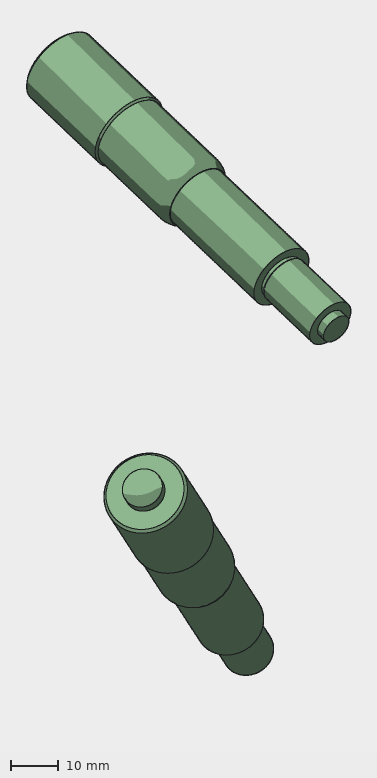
import cadquery as cq


button_rim_x = 0.95
thimble_face_x = 3.3
grip_end_x = 27.5
thimble_shoulder_x = 47.4
thimble_end_x = 50.3
stem_start_x = 78.5
relief_end_x = 79.5
stem_end_x = 95.0
spindle_tip_x = 97.0

button_radius = 4.3
grip_radius = 9.0
thimble_radius = 8.55
thimble_end_radius = 7.5
barrel_radius = 7.35
relief_radius = 5.25
stem_radius = 5.5
spindle_radius = 3.4

grip_front_chamfer = 0.6
grip_rear_chamfer = grip_radius - thimble_radius

round_length = thimble_end_x - thimble_shoulder_x
round_drop = thimble_radius - thimble_end_radius
round_radius = (round_length**2 + round_drop**2) / (2 * round_drop)


def revolve_about_x(profile):
    """Turn a closed half profile (X along the axis, Y as radius) about the X axis."""
    return profile.close().revolve(360, (0, 0, 0), (1, 0, 0))


def make_thimble():
    """Domed button, grip, rounded thimble and the spindle that runs through the sleeve."""
    dome_radius = (button_radius**2 + button_rim_x**2) / (2 * button_rim_x)
    half_rim = button_radius / 2
    dome_mid_x = dome_radius - (dome_radius**2 - half_rim**2) ** 0.5

    round_mid_x = round_length / 2
    round_mid_drop = round_radius - (round_radius**2 - round_mid_x**2) ** 0.5
    round_mid = (thimble_shoulder_x + round_mid_x, thimble_radius - round_mid_drop)

    profile = (
        cq.Workplane("XY")
        .moveTo(0, 0)
        .threePointArc((dome_mid_x, half_rim), (button_rim_x, button_radius))
        .lineTo(thimble_face_x, button_radius)
        .lineTo(thimble_face_x, grip_radius - grip_front_chamfer)
        .lineTo(thimble_face_x + grip_front_chamfer, grip_radius)
        .lineTo(grip_end_x - grip_rear_chamfer, grip_radius)
        .lineTo(grip_end_x, thimble_radius)
        .lineTo(thimble_shoulder_x, thimble_radius)
        .threePointArc(round_mid, (thimble_end_x, thimble_end_radius))
        .lineTo(thimble_end_x, spindle_radius)
        .lineTo(spindle_tip_x, spindle_radius)
        .lineTo(spindle_tip_x, 0)
    )
    return revolve_about_x(profile)


def make_sleeve():
    """Barrel, relief groove and mounting stem, bored through for the spindle."""
    profile = (
        cq.Workplane("XY")
        .moveTo(thimble_end_x, spindle_radius)
        .lineTo(thimble_end_x, barrel_radius)
        .lineTo(stem_start_x, barrel_radius)
        .lineTo(stem_start_x, relief_radius)
        .lineTo(relief_end_x, relief_radius)
        .lineTo(relief_end_x, stem_radius)
        .lineTo(stem_end_x, stem_radius)
        .lineTo(stem_end_x, spindle_radius)
    )
    return revolve_about_x(profile)


thimble = make_thimble()
sleeve = make_sleeve()

result = cq.Compound.makeCompound([thimble.val(), sleeve.val()])